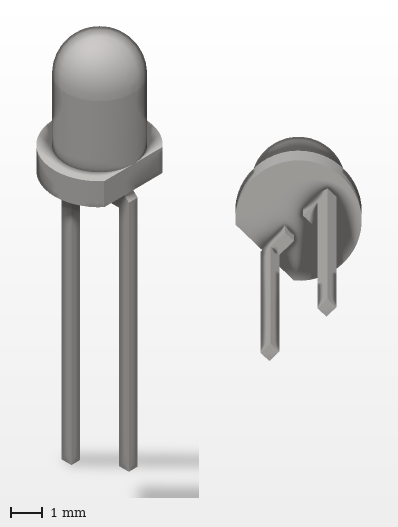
import cadquery as cq

total_height = 17.05
lens_height = 5.25
lens_radius = 1.5
flange_radius = 2.0
flange_height = 1.0

lead_pitch = 2.54
lead_width = 0.45
lead_thickness = 0.4
lead_length_difference = 1.0
tab_height = 0.8
tab_gap = 0.8
tab_chamfer = 0.4

long_lead_length = total_height - lens_height
short_lead_length = long_lead_length - lead_length_difference


def make_lens():
    """Cylinder closed by a hemispherical dome."""
    dome_base = lens_height - lens_radius
    cylinder = cq.Workplane("XY").circle(lens_radius).extrude(dome_base)
    dome = cq.Workplane("XY").sphere(lens_radius).translate((0, 0, dome_base))
    return cylinder.union(dome)


def make_flange():
    """Disc cut flat on +X, tangent to the lens."""
    disc = cq.Workplane("XY").circle(flange_radius).extrude(flange_height)
    keep_width = flange_radius + lens_radius
    keep = cq.Workplane("XY").box(
        keep_width, 2 * flange_radius, flange_height, centered=(False, True, False)
    )
    return disc.intersect(keep.translate((-flange_radius, 0, 0)))


def make_lead(side, length):
    """Flat lead with a chamfered tab at its top; side is -1 or +1 along X."""
    tab_inner = tab_gap / 2
    lead_inner = (lead_pitch - lead_width) / 2
    lead_outer = lead_inner + lead_width
    outline = [
        (side * tab_inner, 0),
        (side * (lead_outer - tab_chamfer), 0),
        (side * lead_outer, -tab_chamfer),
        (side * lead_outer, -length),
        (side * lead_inner, -length),
        (side * lead_inner, -tab_height),
        (side * tab_inner, -tab_height),
    ]
    return cq.Workplane("XZ").polyline(outline).close().extrude(lead_thickness / 2, both=True)


long_lead = make_lead(-1, long_lead_length)
short_lead = make_lead(1, short_lead_length)
result = make_flange().union(make_lens()).union(long_lead).union(short_lead)